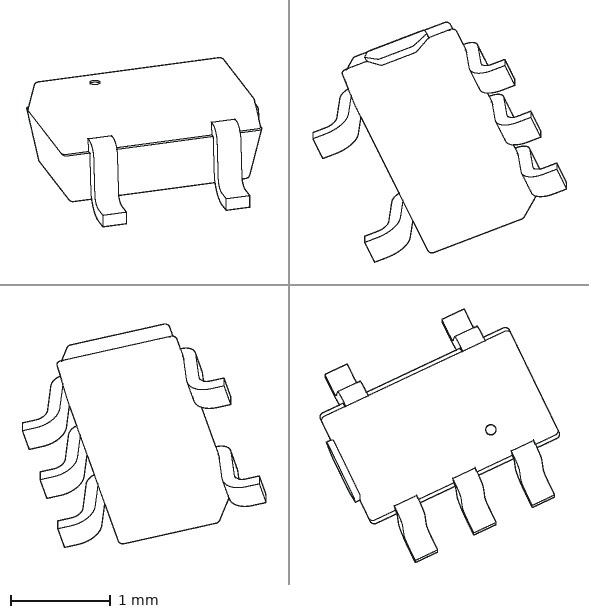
import cadquery as cq
import math


body_length = 2.1
lower_width = 1.25
ledge = 0.039
upper_width = lower_width - 2 * ledge
standoff = 0.054
parting_z = 0.63
top_z = 0.95
upper_draft = 10.0
lower_draft = 10.0
body_fillet = 0.05

mark_diameter = 0.103
mark_depth = 0.02
mark_x = -0.31
mark_y = -0.42

span = 2.1
lead_thickness = 0.13
lead_width = 0.25
pitch = 0.65
leg_tilt = 5.0
foot_length = 0.142
foot_inner_radius = 0.12
shoulder_inner_radius = 0.02
lead_embed = 0.085

tab_reach = 0.05
tab_width = 0.68
tab_rise = 0.1
tab_drop = 0.15
tab_upper_draft = 15.0
tab_lower_draft = 45.0
tab_fillet = 0.03
tab_embed = 0.085


def housing_half(width, height, draft):
    """Drafted block on the parting plane, growing along the sign of height, with rounded edges."""
    block = (
        cq.Workplane("XY")
        .workplane(offset=parting_z)
        .rect(width, body_length)
        .extrude(height, taper=draft)
    )
    end_face = ">Z" if height > 0 else "<Z"
    return block.edges("not #Z").fillet(body_fillet).faces(end_face).edges().fillet(body_fillet)


def make_mark():
    """Shallow round recess beside lead 1."""
    return (
        cq.Workplane("XY")
        .workplane(offset=top_z - mark_depth)
        .center(mark_x, mark_y)
        .circle(mark_diameter / 2)
        .extrude(mark_depth)
    )


def arc_point(centre, radius, angle):
    """Point on a circle in the XZ plane; the angle is in degrees from +X."""
    turn = math.radians(angle)
    return (centre[0] + radius * math.cos(turn), centre[1] + radius * math.sin(turn))


def make_lead(side, y):
    """Gull-wing lead on the +X (side = 1) or -X (side = -1) flank, centred at y."""
    foot_outer_radius = foot_inner_radius + lead_thickness
    shoulder_outer_radius = shoulder_inner_radius + lead_thickness
    tip_x = span / 2
    foot_x = tip_x - foot_length
    root_x = upper_width / 2 - lead_embed
    shoulder_z = parting_z - shoulder_inner_radius
    foot_centre = (foot_x, foot_outer_radius)

    tilt = math.radians(leg_tilt)
    centre_drop = shoulder_z - foot_outer_radius
    centre_gap = (
        (foot_inner_radius + shoulder_outer_radius) / math.cos(tilt) + centre_drop * math.tan(tilt)
    )
    shoulder_centre = (foot_x - centre_gap, shoulder_z)

    foot_start = 180 + leg_tilt
    foot_middle = (foot_start + 270) / 2
    shoulder_middle = (leg_tilt + 90) / 2

    profile = (
        cq.Workplane("XZ")
        .moveTo(tip_x, 0)
        .lineTo(tip_x, lead_thickness)
        .lineTo(foot_x, lead_thickness)
        .threePointArc(
            arc_point(foot_centre, foot_inner_radius, foot_middle),
            arc_point(foot_centre, foot_inner_radius, foot_start),
        )
        .lineTo(*arc_point(shoulder_centre, shoulder_outer_radius, leg_tilt))
        .threePointArc(
            arc_point(shoulder_centre, shoulder_outer_radius, shoulder_middle),
            arc_point(shoulder_centre, shoulder_outer_radius, 90),
        )
        .lineTo(root_x, parting_z + lead_thickness)
        .lineTo(root_x, parting_z)
        .lineTo(shoulder_centre[0], parting_z)
        .threePointArc(
            arc_point(shoulder_centre, shoulder_inner_radius, shoulder_middle),
            arc_point(shoulder_centre, shoulder_inner_radius, leg_tilt),
        )
        .lineTo(*arc_point(foot_centre, foot_outer_radius, foot_start))
        .threePointArc(
            arc_point(foot_centre, foot_outer_radius, foot_middle),
            arc_point(foot_centre, foot_outer_radius, 270),
        )
        .close()
    )
    lead = profile.extrude(lead_width / 2, both=True)
    if side < 0:
        lead = lead.mirror("YZ")
    return lead.translate((0, y, 0))


def make_tab():
    """Six-sided bar along Y, widest at the parting plane, set into the +Y end of the housing."""
    half = tab_width / 2
    top_half = half - tab_rise * math.tan(math.radians(tab_upper_draft))
    bottom_half = half - tab_drop * math.tan(math.radians(tab_lower_draft))
    root_y = body_length / 2 - tab_embed
    bar = (
        cq.Workplane("XZ", origin=(0, root_y, parting_z))
        .polyline([
            (-half, 0),
            (-top_half, tab_rise),
            (top_half, tab_rise),
            (half, 0),
            (bottom_half, -tab_drop),
            (-bottom_half, -tab_drop),
        ])
        .close()
        .extrude(-(tab_embed + tab_reach))
    )
    return bar.edges("|Y and (>Z or <Z)").fillet(tab_fillet)


leads = [make_lead(-1, y) for y in (-pitch, 0, pitch)]
leads += [make_lead(1, y) for y in (-pitch, pitch)]
tab = make_tab()

upper = housing_half(upper_width, top_z - parting_z, upper_draft)
lower = housing_half(lower_width, standoff - parting_z, lower_draft)
housing = upper.union(lower).cut(make_mark()).cut(tab)
for lead in leads:
    housing = housing.cut(lead)

result = cq.Compound.makeCompound([housing.val(), tab.val(), *[lead.val() for lead in leads]])